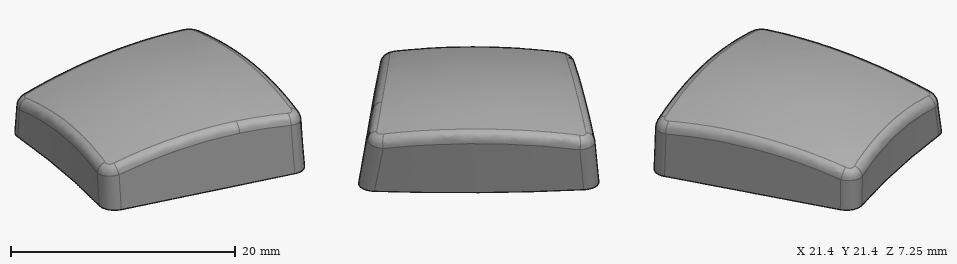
import cadquery as cq
import math

RIGHT_X = 9.68
BACK_Y = 10.55
BACK_RADIUS = 110.38
DEPTH = 19.87
SECTOR_ANGLE = 11.3
RIGHT_DRAFT = 10
LEFT_DRAFT = 5
FRONT_DRAFT = 1
CORNER_RADIUS = 1.5
TOP_EDGE_RADIUS = 1.0
CAP_HEIGHT = 6.25
DOME_RADIUS = 50
DOME_APEX_Y = 4.05
BLANK_HEIGHT = 8.55
STEM_DIAMETER = 5.3
STEM_LENGTH = 1.0

CENTER_Y = BACK_Y - BACK_RADIUS
FRONT_RADIUS = BACK_RADIUS - DEPTH


def inset(draft, height):
    """Inward shift of a drafted side at a given height."""
    return height * math.tan(math.radians(draft))


def sector_outline(height):
    """Wire of the ring-sector outline at a height, with every side moved in by its draft."""
    right_x = RIGHT_X - inset(RIGHT_DRAFT, height)
    left_shift = inset(LEFT_DRAFT, height)
    front_radius = FRONT_RADIUS + inset(FRONT_DRAFT, height)

    def on_arc(radius, angle):
        return cq.Vector(RIGHT_X - radius * math.sin(angle), CENTER_Y + radius * math.cos(angle), height)

    def side_angles(radius):
        right = math.asin((RIGHT_X - right_x) / radius)
        left = math.radians(SECTOR_ANGLE) - math.asin(left_shift / radius)
        return right, left

    def arc_points(radius):
        right, left = side_angles(radius)
        return [on_arc(radius, angle) for angle in (right, (right + left) / 2, left)]

    back_right, back_middle, back_left = arc_points(BACK_RADIUS)
    front_right, front_middle, front_left = arc_points(front_radius)
    return cq.Wire.assembleEdges([
        cq.Edge.makeThreePointArc(back_right, back_middle, back_left),
        cq.Edge.makeLine(back_left, front_left),
        cq.Edge.makeThreePointArc(front_left, front_middle, front_right),
        cq.Edge.makeLine(front_right, back_right),
    ])


def cap():
    """Drafted block with rounded corners, trimmed by a sphere and rounded along the rim."""
    blank = cq.Solid.makeLoft([sector_outline(0), sector_outline(BLANK_HEIGHT)], True)
    rounded = cq.Workplane(obj=blank).edges("not(#Z)").edges("not(<Z or >Z)").fillet(CORNER_RADIUS)
    dome = cq.Workplane().sphere(DOME_RADIUS).translate((0, DOME_APEX_Y, CAP_HEIGHT - DOME_RADIUS))
    domed = rounded.intersect(dome)
    return domed.faces("%SPHERE").faces(">Z").edges().fillet(TOP_EDGE_RADIUS)


def stem():
    """Round stem below the cap."""
    return cq.Workplane().circle(STEM_DIAMETER / 2).extrude(-STEM_LENGTH)


result = cap().union(stem())